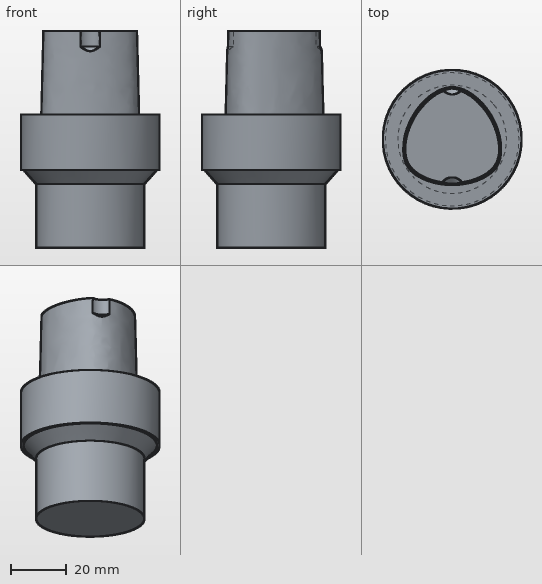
import cadquery as cq
import math

total_height = 78.0
neck_diameter = 39.0
neck_height = 22.9
cone_height = 5.0
cone_top_diameter = 48.0
flange_diameter = 50.0
flange_height = 20.05

shank_base_radius = 17.6
shank_taper = 1 / 40
lobe_height = 1.2
outline_point_count = 48

notch_diameter = 8.3
notch_depth = 5.7
drill_point_height = 3.05
front_notch_y = -17.8
back_notch_y = 20.3

cone_base_z = neck_height
flange_base_z = cone_base_z + cone_height
shank_base_z = flange_base_z + flange_height
shank_height = total_height - shank_base_z
shank_top_radius = shank_base_radius - shank_taper * shank_height


def lobed_point(mean_radius, angle):
    """Point on a constant-width curve with one lobe toward +Y."""
    reach = mean_radius - lobe_height * math.sin(3 * angle)
    shift = -3 * lobe_height * math.cos(3 * angle)
    x = reach * math.cos(angle) - shift * math.sin(angle)
    y = reach * math.sin(angle) + shift * math.cos(angle)
    return x, y


def lobed_outline(mean_radius):
    step = 2 * math.pi / outline_point_count
    return [lobed_point(mean_radius, i * step) for i in range(outline_point_count)]


def make_body():
    return (
        cq.Workplane("XZ")
        .lineTo(neck_diameter / 2, 0)
        .lineTo(neck_diameter / 2, cone_base_z)
        .lineTo(cone_top_diameter / 2, flange_base_z)
        .lineTo(flange_diameter / 2, flange_base_z)
        .lineTo(flange_diameter / 2, shank_base_z)
        .lineTo(0, shank_base_z)
        .close()
        .revolve(360, (0, 0), (0, 1))
    )


def make_shank():
    return (
        cq.Workplane("XY", origin=(0, 0, shank_base_z))
        .spline(lobed_outline(shank_base_radius), periodic=True)
        .close()
        .workplane(offset=shank_height)
        .spline(lobed_outline(shank_top_radius), periodic=True)
        .close()
        .loft(ruled=True)
    )


def make_notch_cutter(center_y):
    wall_bottom_z = total_height - notch_depth
    return (
        cq.Workplane("XZ")
        .moveTo(0, wall_bottom_z - drill_point_height)
        .lineTo(notch_diameter / 2, wall_bottom_z)
        .lineTo(notch_diameter / 2, total_height)
        .lineTo(0, total_height)
        .close()
        .revolve(360, (0, 0), (0, 1))
        .translate((0, center_y, 0))
    )


result = make_body().union(make_shank())
for notch_y in (front_notch_y, back_notch_y):
    result = result.cut(make_notch_cutter(notch_y))